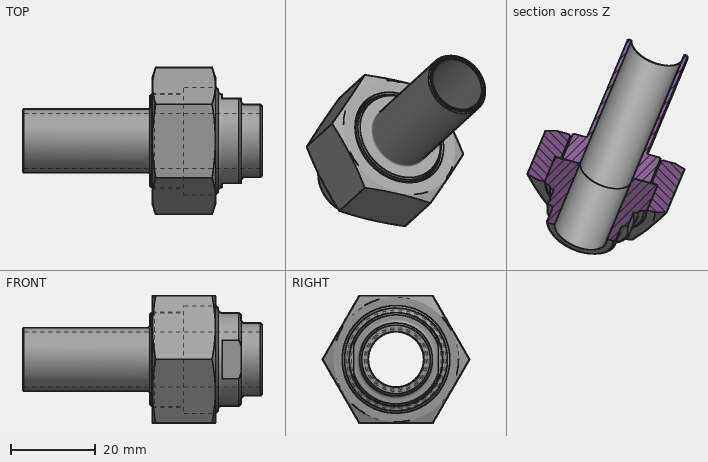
import cadquery as cq
import math

total_length = 56.5
bore_dia = 13.0

tube_dia = 15.05
tube_end_bore_dia = 13.55
tube_end_chamfer = 0.35
collar_dia = 22.0
collar_start = 30.0
collar_chamfer = 0.4
collar_root_fillet = 0.45
joint_x = 37.85

nut_start = 30.5
nut_end = 45.5
across_flats = 30.0
nut_face_dia = 29.45
nut_corner_depth = 0.85
nut_neck_dia = 22.5
nut_mouth_chamfer = 0.45

shank_dia = 25.35
shank_end = 46.05
shank_chamfer = 0.55
body_dia = 22.0
body_end = 51.45
spigot_dia = 17.2
step_chamfer = 0.5
step_fillet = 0.85
flat_start = 47.0
flat_width = 20.0


def x_cylinder(start, end, diameter):
    return cq.Workplane("YZ", origin=(start, 0, 0)).circle(diameter / 2).extrude(end - start)


def x_cone(start, end, start_dia, end_dia):
    outline = [(start, 0), (start, start_dia / 2), (end, end_dia / 2), (end, 0)]
    return revolve_about_x(cq.Workplane("XY").polyline(outline).close())


def revolve_about_x(sketch):
    return sketch.revolve(360, (0, 0, 0), (1, 0, 0))


def make_tube():
    tube_radius = tube_dia / 2
    collar_radius = collar_dia / 2
    root = collar_root_fillet
    outline = (
        cq.Workplane("XY")
        .moveTo(0, bore_dia / 2)
        .lineTo(0, tube_radius - tube_end_chamfer)
        .lineTo(tube_end_chamfer, tube_radius)
        .lineTo(collar_start - root, tube_radius)
        .radiusArc((collar_start, tube_radius + root), -root)
        .lineTo(collar_start, collar_radius - collar_chamfer)
        .lineTo(collar_start + collar_chamfer, collar_radius)
        .lineTo(joint_x, collar_radius)
        .lineTo(joint_x, bore_dia / 2)
        .close()
    )
    tube = revolve_about_x(outline)
    bore_chamfer = (tube_end_bore_dia - bore_dia) / 2
    return tube.cut(x_cone(0, bore_chamfer, tube_end_bore_dia, bore_dia))


def make_nut():
    corner_dia = across_flats / math.cos(math.pi / 6)
    hexagon = (
        cq.Workplane("YZ", origin=(nut_start, 0, 0))
        .polygon(6, corner_dia)
        .extrude(nut_end - nut_start)
    )
    corner_envelope = revolve_about_x(
        cq.Workplane("XY").polyline([
            (nut_start, 0),
            (nut_start, nut_face_dia / 2),
            (nut_start + nut_corner_depth, corner_dia / 2),
            (nut_end - nut_corner_depth, corner_dia / 2),
            (nut_end, nut_face_dia / 2),
            (nut_end, 0),
        ]).close()
    )
    mouth_dia = nut_neck_dia + 2 * nut_mouth_chamfer
    return (
        hexagon.intersect(corner_envelope)
        .cut(x_cylinder(nut_start, joint_x, nut_neck_dia))
        .cut(x_cylinder(joint_x, nut_end, shank_dia))
        .cut(x_cone(nut_start, nut_start + nut_mouth_chamfer, mouth_dia, nut_neck_dia))
    )


def make_connector():
    shank_radius = shank_dia / 2
    body_radius = body_dia / 2
    spigot_radius = spigot_dia / 2
    outline = (
        cq.Workplane("XY")
        .moveTo(joint_x, bore_dia / 2)
        .lineTo(joint_x, shank_radius)
        .lineTo(shank_end - shank_chamfer, shank_radius)
        .lineTo(shank_end, shank_radius - shank_chamfer)
        .lineTo(shank_end, body_radius + step_fillet)
        .radiusArc((shank_end + step_fillet, body_radius), -step_fillet)
        .lineTo(body_end - step_chamfer, body_radius)
        .lineTo(body_end, body_radius - step_chamfer)
        .lineTo(body_end, spigot_radius + step_fillet)
        .radiusArc((body_end + step_fillet, spigot_radius), -step_fillet)
        .lineTo(total_length - step_chamfer, spigot_radius)
        .lineTo(total_length, spigot_radius - step_chamfer)
        .lineTo(total_length, bore_dia / 2)
        .close()
    )
    connector = revolve_about_x(outline)
    for side in (-1, 1):
        flat_cut = cq.Workplane("XY").box(
            body_end - flat_start, body_dia, body_dia
        ).translate(((flat_start + body_end) / 2, side * (flat_width + body_dia) / 2, 0))
        connector = connector.cut(flat_cut)
    return connector


tube = make_tube()
nut = make_nut()
connector = make_connector()

result = cq.Compound.makeCompound([tube.val(), nut.val(), connector.val()])